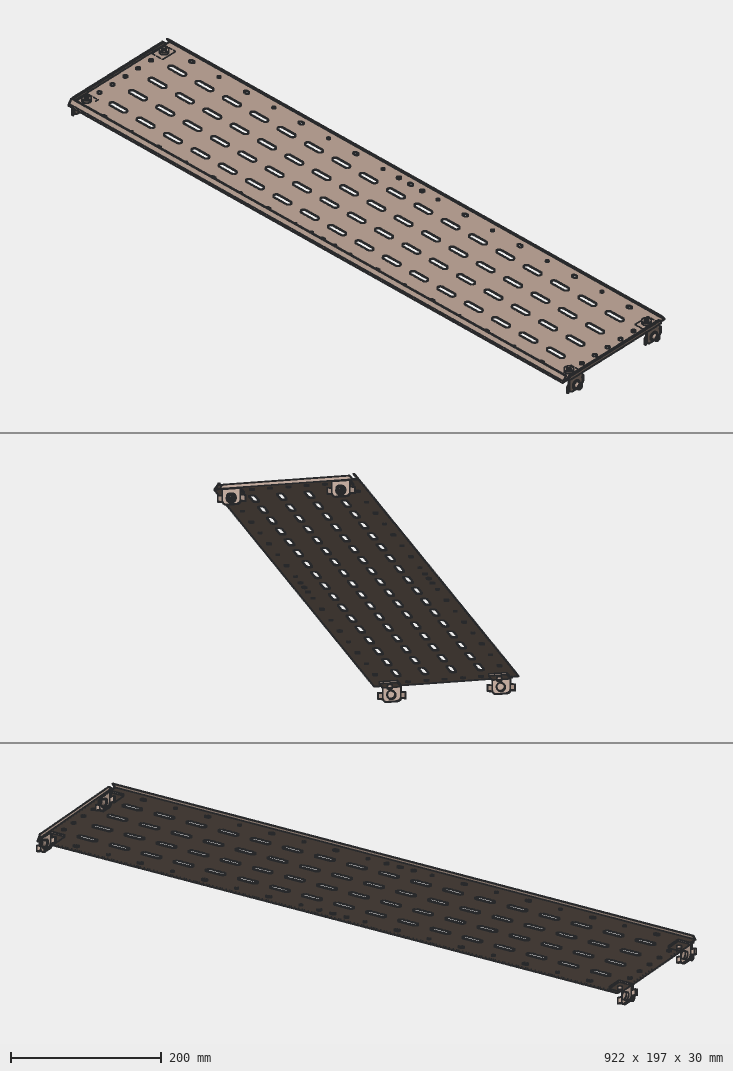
import cadquery as cq

length = 922.0
width = 197.0
height = 30.0

sheet = 1.4
lip_length = 904.0
floor_length = 909.5
floor_bottom = 22.0
lip_reach = 6.0
lip_edge = 1.4
end_wall_width = 178.0
end_wall_thickness = 3.0
end_wall_height = 5.5
end_wall_chamfer = 3.0

column_count = 17
column_span = 800.0
row_count = 4
row_pitch = 38.0
slot_length = 30.0
slot_width = 8.0

edge_hole_y = 85.0
edge_slot_length = 8.0
edge_slot_width = 5.5
edge_hole_diameter = 5.0
middle_hole_diameter = 6.0
middle_hole_offset = 21.0

fixing_x = 441.0
fixing_count = 7
fixing_span = 149.0
fixing_hole_diameter = 6.0

bolt_head_diameter = 13.0
bolt_head_height = 4.0
bolt_socket_diameter = 5.5
bolt_socket_depth = 3.0
bolt_shank_diameter = 6.0
bolt_tip_z = 15.0

bracket_width = 25.0
bracket_thickness = 3.0
bracket_outer_x = 454.0
bracket_inner_x = 432.0
bracket_bend_radius = 3.0
bracket_corner_radius = 5.5

ear_span = 36.0
ear_height = 8.0
ear_offset = 3.0

screw_z = 8.0
screw_diameter = 9.0
screw_socket_diameter = 5.0
screw_socket_depth = 3.0
washer_diameter = 13.0
washer_thickness = 1.0
nut_diameter = 11.0
nut_thickness = 4.0

floor_top = floor_bottom + sheet
column_pitch = column_span / (column_count - 1)
fixing_pitch = fixing_span / (fixing_count - 1)
bolt_y = fixing_span / 2
column_xs = [(i - (column_count - 1) / 2) * column_pitch for i in range(column_count)]
row_ys = [(i - (row_count - 1) / 2) * row_pitch for i in range(row_count)]


def box(x_size, y_size, z_size, bottom):
    plane = cq.Workplane("XY").workplane(offset=bottom)
    return plane.box(x_size, y_size, z_size, centered=(True, True, False))


def make_lip():
    """Strip folded back inward and upward along the +Y edge of the floor."""
    outer_y = width / 2
    tip_y = outer_y - lip_reach
    outline = [
        (outer_y, floor_bottom),
        (tip_y, height),
        (tip_y - lip_edge, height),
        (outer_y - lip_edge, floor_bottom),
    ]
    return cq.Workplane("YZ").polyline(outline).close().extrude(lip_length / 2, both=True)


def make_end_wall():
    """Upright wall at the +X end, with its two upper corners cut off."""
    wall = box(end_wall_thickness, end_wall_width, end_wall_height, floor_bottom)
    wall = wall.edges("|X and >Z").chamfer(end_wall_chamfer)
    return wall.translate(((floor_length - end_wall_thickness) / 2, 0, 0))


def make_tray():
    lip = make_lip()
    end_wall = make_end_wall()
    tray = box(lip_length, width - 2 * lip_edge, sheet, floor_bottom)
    tray = tray.union(box(floor_length, end_wall_width, sheet, floor_bottom))
    tray = tray.union(lip).union(lip.mirror("XZ"))
    return tray.union(end_wall).union(end_wall.mirror("YZ"))


def floor_plane():
    return cq.Workplane("XY").workplane(offset=floor_bottom)


def round_cutter(points, diameter):
    return floor_plane().pushPoints(points).circle(diameter / 2).extrude(sheet)


def slot_cutter(points, slot_size, across):
    return floor_plane().pushPoints(points).slot2D(slot_size, across).extrude(sheet)


def cut_openings(tray):
    vents = [(x, y) for x in column_xs for y in row_ys]
    edge_ys = (-edge_hole_y, edge_hole_y)
    edge_slots = [(x, y) for x in column_xs[0::2] for y in edge_ys]
    edge_holes = [(x, y) for x in column_xs[1::2] for y in edge_ys]
    middle_holes = [(x, y) for x in (-middle_hole_offset, middle_hole_offset) for y in edge_ys]
    fixing_ys = [i * fixing_pitch - bolt_y for i in range(1, fixing_count - 1)]
    fixing_holes = [(x, y) for x in (-fixing_x, fixing_x) for y in fixing_ys]
    tray = tray.cut(slot_cutter(vents, slot_length, slot_width))
    tray = tray.cut(slot_cutter(edge_slots, edge_slot_length, edge_slot_width))
    tray = tray.cut(round_cutter(edge_holes, edge_hole_diameter))
    tray = tray.cut(round_cutter(middle_holes, middle_hole_diameter))
    return tray.cut(round_cutter(fixing_holes, fixing_hole_diameter))


def make_bracket():
    """Angle with its foot under the floor and its leg hanging down at the +X end."""
    foot_length = bracket_outer_x - bracket_inner_x
    center_x = (bracket_outer_x + bracket_inner_x) / 2
    foot = box(foot_length, bracket_width, bracket_thickness, floor_bottom - bracket_thickness)
    leg = box(bracket_thickness, bracket_width, floor_bottom, 0)
    leg = leg.edges("|X and <Z").fillet(bracket_corner_radius)
    leg = leg.translate(((foot_length - bracket_thickness) / 2, 0, 0))
    bracket = foot.union(leg).edges("|Y and >X and >Z").fillet(bracket_bend_radius)
    return bracket.translate((center_x, 0, 0))


def make_ears():
    """Two sloping ears on the leg: the -Y one leans outward and the +Y one inward."""
    inner_x = bracket_outer_x - bracket_thickness
    root_y = bracket_width / 2
    tip_y = ear_span / 2
    outline = [
        (bracket_outer_x + ear_offset, -tip_y),
        (bracket_outer_x, -root_y),
        (bracket_outer_x, root_y),
        (bracket_outer_x - ear_offset, tip_y),
        (inner_x - ear_offset, tip_y),
        (inner_x, root_y),
        (inner_x, -root_y),
        (inner_x + ear_offset, -tip_y),
    ]
    base = cq.Workplane("XY").workplane(offset=screw_z - ear_height / 2)
    return base.polyline(outline).close().extrude(ear_height)


def make_bolt():
    """Vertical socket bolt holding the bracket foot to the floor."""
    head = cq.Workplane("XY").workplane(offset=floor_top).circle(bolt_head_diameter / 2)
    head = head.extrude(bolt_head_height)
    head = head.faces(">Z").workplane().hole(bolt_socket_diameter, bolt_socket_depth)
    shank = cq.Workplane("XY").workplane(offset=bolt_tip_z).circle(bolt_shank_diameter / 2)
    return head.union(shank.extrude(floor_top - bolt_tip_z)).translate((fixing_x, 0, 0))


def make_screw_and_nut():
    """Socket screw with a washer outside the leg at the +X end and a round nut inside it."""
    leg_face = cq.Workplane("YZ").workplane(offset=bracket_outer_x).center(0, screw_z)
    washer = leg_face.circle(washer_diameter / 2).extrude(washer_thickness)
    screw = leg_face.circle(screw_diameter / 2).extrude(length / 2 - bracket_outer_x)
    screw = screw.faces(">X").workplane().hole(screw_socket_diameter, screw_socket_depth)
    inner_x = bracket_outer_x - bracket_thickness
    nut_face = cq.Workplane("YZ").workplane(offset=inner_x).center(0, screw_z)
    nut = nut_face.circle(nut_diameter / 2).extrude(-nut_thickness)
    return washer.union(screw), nut


def make_support():
    screw, nut = make_screw_and_nut()
    return make_bracket().union(make_ears()).union(make_bolt()).union(screw).union(nut)


result = cut_openings(make_tray())
support = make_support()
for y in (-bolt_y, bolt_y):
    corner = support.translate((0, y, 0))
    opposite_corner = corner.rotate((0, 0, 0), (0, 0, 1), 180)
    result = result.union(corner).union(opposite_corner)